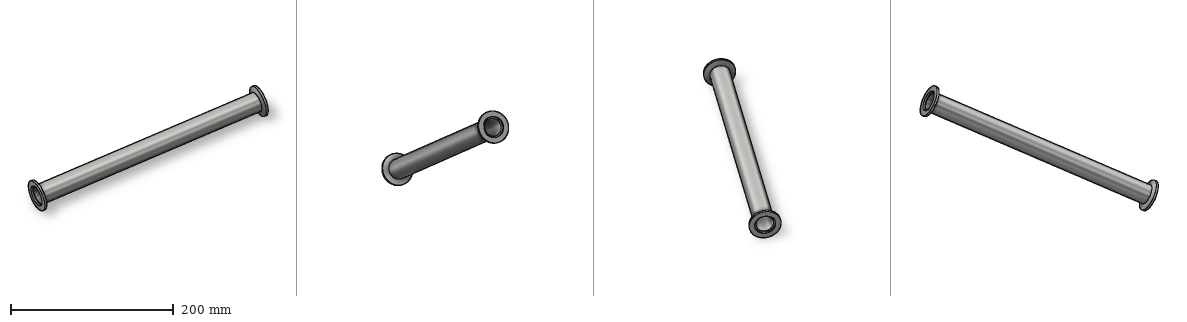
import cadquery as cq
import math

LENGTH = 320.0
TUBE_DIAMETER = 25.4
BORE_DIAMETER = 22.0

FLANGE_DIAMETER = 40.0
RIM_THICKNESS = 3.0
TAPER_ANGLE = 15.0

SEAT_DIAMETER = 26.2
SEAT_DEPTH = 2.5

HALF_LENGTH = LENGTH / 2
TUBE_RADIUS = TUBE_DIAMETER / 2
BORE_RADIUS = BORE_DIAMETER / 2
FLANGE_RADIUS = FLANGE_DIAMETER / 2
SEAT_RADIUS = SEAT_DIAMETER / 2
TAPER_LENGTH = (FLANGE_RADIUS - TUBE_RADIUS) * math.tan(math.radians(TAPER_ANGLE))


def make_part():
    """Revolve the wall of the tube, with a flange and a seat at each end, about the Y axis."""
    rim_back = HALF_LENGTH - RIM_THICKNESS
    taper_end = rim_back - TAPER_LENGTH
    seat_floor = HALF_LENGTH - SEAT_DEPTH
    end_outline = [
        (TUBE_RADIUS, taper_end),
        (FLANGE_RADIUS, rim_back),
        (FLANGE_RADIUS, HALF_LENGTH),
        (SEAT_RADIUS, HALF_LENGTH),
        (SEAT_RADIUS, seat_floor),
        (BORE_RADIUS, seat_floor),
    ]
    opposite_outline = [(radius, -y) for radius, y in reversed(end_outline)]
    profile = cq.Workplane("XY").polyline(end_outline + opposite_outline).close()
    return profile.revolve(360, (0, 0, 0), (0, 1, 0))


result = make_part()